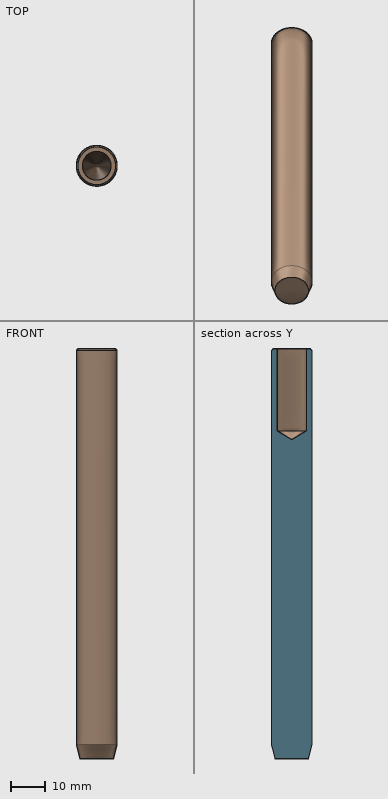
import cadquery as cq
import math

length = 120.0
outer_diameter = 12.0
tip_diameter = 9.8
taper_length = 4.2
top_chamfer = 0.5
bore_diameter = 8.4
bore_depth = 24.0
drill_point_angle = 118.0

outer_radius = outer_diameter / 2
bore_radius = bore_diameter / 2
drill_point_depth = bore_radius / math.tan(math.radians(drill_point_angle / 2))
bore_floor = length - bore_depth

half_section = (
    cq.Workplane("XZ")
    .moveTo(0, 0)
    .lineTo(tip_diameter / 2, 0)
    .lineTo(outer_radius, taper_length)
    .lineTo(outer_radius, length - top_chamfer)
    .lineTo(outer_radius - top_chamfer, length)
    .lineTo(bore_radius, length)
    .lineTo(bore_radius, bore_floor)
    .lineTo(0, bore_floor - drill_point_depth)
    .close()
)

result = half_section.revolve(360, (0, 0, 0), (0, 1, 0))